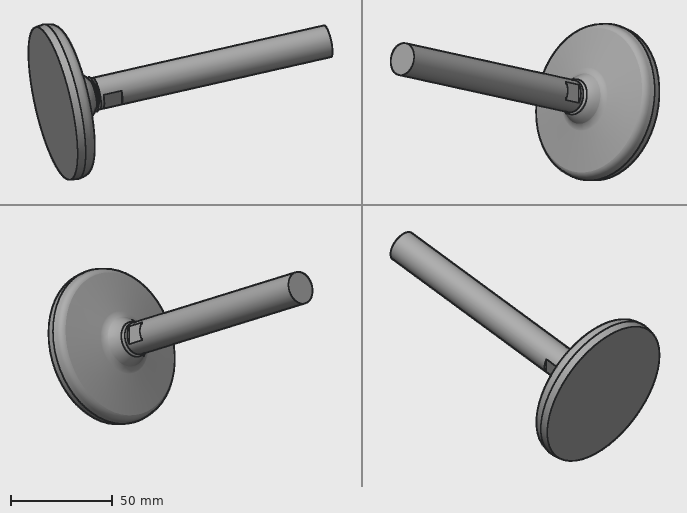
import cadquery as cq
import math

total_length = 142.0
underside_y = -total_length / 2

foot_diameter = 78.0
rim_radius = foot_diameter / 2
rim_draft = 0.5
parting_height = 4.0
shoulder_height = 6.8
cone_base_height = 9.8
cone_base_radius = 35.9
cone_top_height = 13.2
cone_top_radius = 15.6
dome_base_height = 14.9
dome_radius = 14.2
dome_center_height = 8.1
foot_top_height = 20.2

shaft_diameter = 16.0
shaft_radius = shaft_diameter / 2
shaft_base_height = 22.3
neck_radius = 5.4
collar_bottom_height = foot_top_height
collar_edge_height = 20.6
collar_edge_radius = 8.8
collar_top_height = 22.0

flat_bottom_height = 24.0
flat_top_height = 33.4
across_flats = 13.2


def dome_radius_at(height):
    """Radius of the spherical dome at a height above the underside."""
    return math.sqrt(dome_radius**2 - (height - dome_center_height) ** 2)


def revolve_about_y(profile):
    """Turn a closed radius-height profile into a solid standing on the underside plane."""
    return profile.close().revolve(360, (0, 0), (0, 1)).translate((0, underside_y, 0))


def make_foot():
    """Drafted disc with a rounded shoulder, a shallow cone and a spherical dome."""
    shoulder_radius = rim_radius - rim_draft
    dome_mid_height = (dome_base_height + foot_top_height) / 2
    profile = (
        cq.Workplane("XY")
        .lineTo(shoulder_radius, 0)
        .lineTo(rim_radius, parting_height)
        .lineTo(shoulder_radius, shoulder_height)
        .tangentArcPoint((cone_base_radius, cone_base_height), relative=False)
        .lineTo(cone_top_radius, cone_top_height)
        .tangentArcPoint((dome_radius_at(dome_base_height), dome_base_height), relative=False)
        .threePointArc(
            (dome_radius_at(dome_mid_height), dome_mid_height),
            (dome_radius_at(foot_top_height), foot_top_height),
        )
        .lineTo(0, foot_top_height)
    )
    return revolve_about_y(profile)


def make_stud():
    """Plain shaft on a short neck and a double-tapered collar, with two wrench flats."""
    profile = (
        cq.Workplane("XY")
        .moveTo(0, collar_bottom_height)
        .lineTo(dome_radius_at(foot_top_height), collar_bottom_height)
        .lineTo(collar_edge_radius, collar_edge_height)
        .lineTo(neck_radius, collar_top_height)
        .lineTo(neck_radius, shaft_base_height)
        .lineTo(shaft_radius, shaft_base_height)
        .lineTo(shaft_radius, total_length)
        .lineTo(0, total_length)
    )
    stud = revolve_about_y(profile)
    flat_length = flat_top_height - flat_bottom_height
    flat_center_y = underside_y + (flat_bottom_height + flat_top_height) / 2
    for side in (-1, 1):
        cutter = cq.Workplane("XY").box(shaft_diameter, flat_length, shaft_diameter)
        cutter_x = side * (across_flats + shaft_diameter) / 2
        stud = stud.cut(cutter.translate((cutter_x, flat_center_y, 0)))
    return stud


foot = make_foot()
stud = make_stud()

result = cq.Compound.makeCompound([foot.val(), stud.val()])